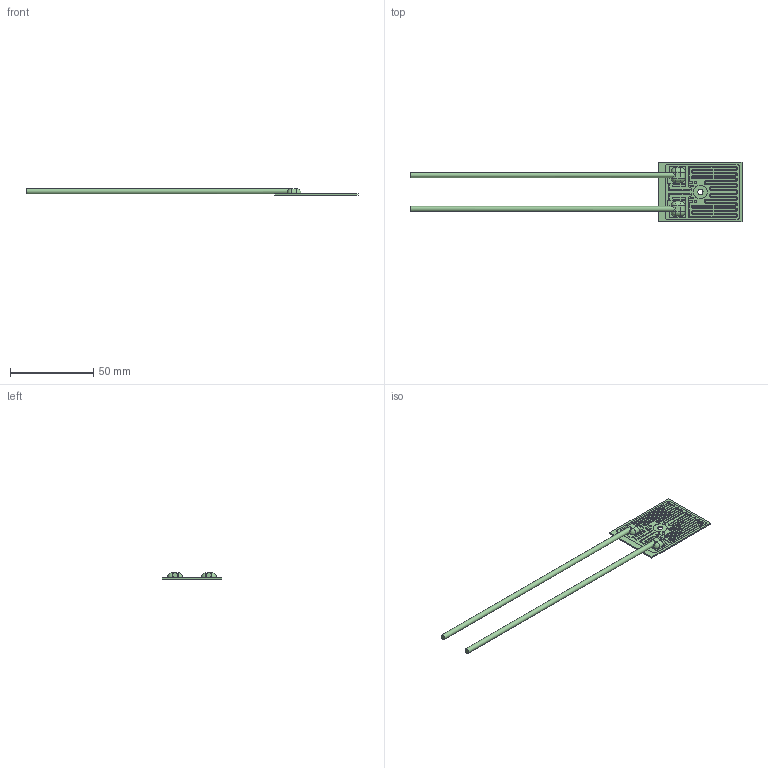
import cadquery as cq
import math

PLATE_LENGTH = 50.0
PLATE_WIDTH = 35.85
PLATE_THICKNESS = 0.75
HOLE_RADIUS = 1.6

GLAZE_THICKNESS = 0.05
GLAZE_LEFT = -21.2
GLAZE_RIGHT = 23.5
GLAZE_WIDTH = 33.0
GLAZE_CORNER_RADIUS = 1.5
GLAZE_OPENING_RADIUS = 4.15
DIMPLE_RADIUS = 0.75
DIMPLE_X = -2.8
DIMPLE_Y = 5.7

GLAZE_TOP = PLATE_THICKNESS + GLAZE_THICKNESS
TRACE_WIDTH = 0.6
TRACE_THICKNESS = 0.1
TRACE_TOP = GLAZE_TOP + TRACE_THICKNESS

PASS_COUNT = 9
PASS_PITCH = 1.72
OUTER_PASS_Y = 15.0
TURN_RADIUS = PASS_PITCH / 2
RIGHT_TURN_X = 21.1
LEFT_TURN_X = (-4.1, -4.1, 3.5, 6.5)

FEED_X = -18.8
RISER_X = -6.8
RISER_FOOT_Y = 4.0
CROSSOVER_X = -5.6
TAB_END_X = -4.6
UPPER_TAB_Y = 5.7
UPPER_TAB_HEIGHT = 1.4
LOWER_TAB_Y = 3.6

PAD_LEFT = -18.5
PAD_RIGHT = -9.0
PAD_BOTTOM = 5.1
PAD_TOP = 15.2
EAR_LEFT = -19.7
EAR_TOP = 8.2
TONGUE_LEFT = -16.8
TONGUE_BOTTOM = 3.3
SLIT_BOTTOM = 4.5
SLIT_END_MARGIN = 0.6

LEAD_Y = 10.15
WIRE_DIAMETER = 3.0
WIRE_START_X = -174.3
SOLDER_LEFT = -17.6
SOLDER_RIGHT = -9.2
SOLDER_WIDTH = 9.0
SOLDER_HEIGHT = WIRE_DIAMETER
SOLDER_ROUNDING = 2.7


def slab(left, right, bottom, top, base, thickness):
    """Flat block given by its X range, Y range, underside and thickness."""
    block = cq.Workplane("XY").box(right - left, top - bottom, thickness, centered=False)
    return block.translate((left, bottom, base))


def trace_slab(left, right, bottom, top):
    """Rectangular area of trace on the glaze."""
    return slab(left, right, bottom, top, GLAZE_TOP, TRACE_THICKNESS)


def trace_bar(start, end):
    """Straight run of trace with rounded ends centred on the two points."""
    run_x = end[0] - start[0]
    run_y = end[1] - start[1]
    middle = ((start[0] + end[0]) / 2, (start[1] + end[1]) / 2)
    bar_length = math.hypot(run_x, run_y) + TRACE_WIDTH
    bar_angle = math.degrees(math.atan2(run_y, run_x))
    return (
        cq.Workplane("XY", origin=(0, 0, GLAZE_TOP))
        .center(*middle)
        .slot2D(bar_length, TRACE_WIDTH, bar_angle)
        .extrude(TRACE_THICKNESS)
    )


def trace_turn(x, y, radius, side):
    """Half ring that joins two passes; side is +1 for a right turn and -1 for a left turn."""
    outer = radius + TRACE_WIDTH / 2
    inner = radius - TRACE_WIDTH / 2
    return (
        cq.Workplane("XY", origin=(x, y, GLAZE_TOP))
        .moveTo(0, outer)
        .threePointArc((side * outer, 0), (0, -outer))
        .lineTo(0, -inner)
        .threePointArc((side * inner, 0), (0, inner))
        .close()
        .extrude(TRACE_THICKNESS)
    )


def pass_y(number):
    """Y of the centre line of a serpentine pass in the upper half."""
    return OUTER_PASS_Y - number * PASS_PITCH


INNER_PASS_Y = pass_y(PASS_COUNT - 1)
CENTRE_TURN_X = RIGHT_TURN_X + TURN_RADIUS - INNER_PASS_Y


def build_plate():
    """Substrate with its glaze layer and central hole."""
    plate = cq.Workplane("XY").rect(PLATE_LENGTH, PLATE_WIDTH).extrude(PLATE_THICKNESS)
    glaze = (
        slab(GLAZE_LEFT, GLAZE_RIGHT, -GLAZE_WIDTH / 2, GLAZE_WIDTH / 2, PLATE_THICKNESS, GLAZE_THICKNESS)
        .edges("|Z")
        .fillet(GLAZE_CORNER_RADIUS)
    )
    on_plate = cq.Workplane("XY", origin=(0, 0, PLATE_THICKNESS))
    opening = on_plate.circle(GLAZE_OPENING_RADIUS).extrude(GLAZE_THICKNESS)
    dimples = (
        on_plate.pushPoints([(DIMPLE_X, DIMPLE_Y), (DIMPLE_X, -DIMPLE_Y)])
        .circle(DIMPLE_RADIUS)
        .extrude(GLAZE_THICKNESS)
    )
    hole = cq.Workplane("XY").circle(HOLE_RADIUS).extrude(PLATE_THICKNESS)
    return plate.union(glaze.cut(opening).cut(dimples)).cut(hole)


def pad_pieces():
    """Solder pad with an ear on its left and a slit tongue on its inner side."""
    pad = trace_slab(PAD_LEFT, PAD_RIGHT, PAD_BOTTOM, PAD_TOP)
    ear = trace_slab(EAR_LEFT, PAD_LEFT, PAD_BOTTOM, EAR_TOP)
    slit = trace_slab(TONGUE_LEFT + SLIT_END_MARGIN, PAD_RIGHT - SLIT_END_MARGIN, SLIT_BOTTOM, PAD_BOTTOM)
    tongue = trace_slab(TONGUE_LEFT, PAD_RIGHT, TONGUE_BOTTOM, PAD_BOTTOM).cut(slit)
    return [pad, ear, tongue]


def feed_pieces():
    """Run from the pad towards the hole, then up the riser to the outermost pass."""
    upper_tab = trace_slab(
        RISER_X, TAB_END_X, UPPER_TAB_Y - UPPER_TAB_HEIGHT / 2, UPPER_TAB_Y + UPPER_TAB_HEIGHT / 2
    )
    return [
        trace_bar((FEED_X, PAD_BOTTOM), (FEED_X, INNER_PASS_Y)),
        trace_bar((FEED_X, INNER_PASS_Y), (CROSSOVER_X, INNER_PASS_Y)),
        trace_bar((CROSSOVER_X, INNER_PASS_Y), (RISER_X, RISER_FOOT_Y)),
        trace_bar((RISER_X, RISER_FOOT_Y), (RISER_X, OUTER_PASS_Y)),
        upper_tab,
        trace_bar((RISER_X, LOWER_TAB_Y), (TAB_END_X, LOWER_TAB_Y)),
    ]


def serpentine_pieces():
    """Upper half of the serpentine, its turns alternating right and left."""
    pieces = []
    for number in range(PASS_COUNT):
        is_outermost = number == 0
        is_innermost = number == PASS_COUNT - 1
        left = RISER_X if is_outermost else LEFT_TURN_X[(number - 1) // 2]
        right = CENTRE_TURN_X if is_innermost else RIGHT_TURN_X
        pieces.append(trace_bar((left, pass_y(number)), (right, pass_y(number))))
        if is_innermost:
            continue
        turn_y = pass_y(number) - TURN_RADIUS
        if number % 2 == 0:
            pieces.append(trace_turn(RIGHT_TURN_X, turn_y, TURN_RADIUS, 1))
        else:
            pieces.append(trace_turn(LEFT_TURN_X[number // 2], turn_y, TURN_RADIUS, -1))
    return pieces


def build_trace():
    """One conductor from pad to pad, symmetric about the XZ plane."""
    pieces = pad_pieces() + feed_pieces() + serpentine_pieces()
    half = pieces[0]
    for piece in pieces[1:]:
        half = half.union(piece)
    centre_turn = trace_turn(CENTRE_TURN_X, 0, INNER_PASS_Y, 1)
    return half.union(half.mirror("XZ")).union(centre_turn).clean()


def build_lead(y):
    """Wire along X that ends inside its solder block."""
    near_side = y - SOLDER_WIDTH / 2
    far_side = y + SOLDER_WIDTH / 2
    solder = (
        slab(SOLDER_LEFT, SOLDER_RIGHT, near_side, far_side, TRACE_TOP, SOLDER_HEIGHT)
        .edges("|Z or >Z")
        .fillet(SOLDER_ROUNDING)
    )
    wire_end_x = SOLDER_LEFT + SOLDER_ROUNDING
    wire = (
        cq.Workplane("YZ", origin=(WIRE_START_X, y, TRACE_TOP + WIRE_DIAMETER / 2))
        .circle(WIRE_DIAMETER / 2)
        .extrude(wire_end_x - WIRE_START_X)
    )
    return solder.union(wire)


plate = build_plate()
trace = build_trace()
leads = [build_lead(side * LEAD_Y) for side in (1, -1)]

result = cq.Compound.makeCompound([plate.val(), trace.val(), *[lead.val() for lead in leads]])